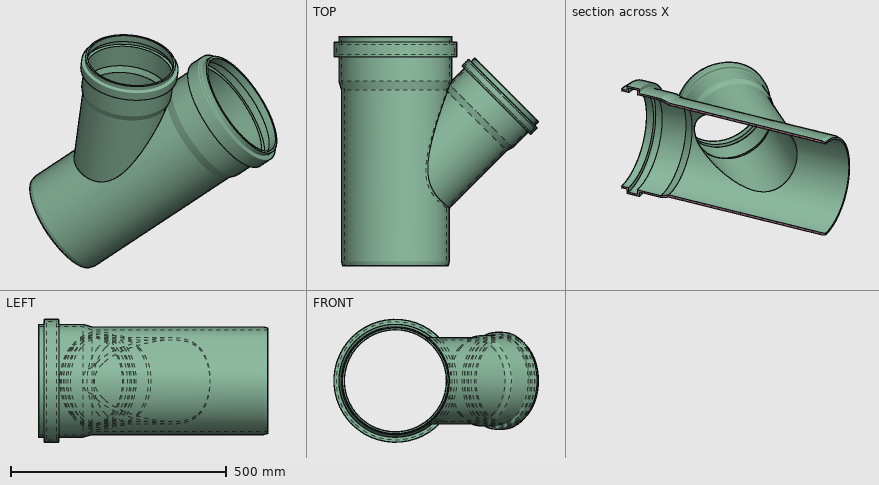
import cadquery as cq
import math

TOTAL_LENGTH = 532.0
MAIN_PIPE_DIA = 250.5
MAIN_BORE_DIA = 236.0
MAIN_SOCKET_DIA = 262.5
MAIN_SOCKET_BORE_DIA = 251.0
MAIN_COLLAR_DIA = 285.5
MAIN_GROOVE_DIA = 274.5
MAIN_COLLAR_DEPTHS = (13.0, 47.0)
MAIN_CONE_DEPTHS = (103.0, 123.5)

SPIGOT_TAPER_LENGTH = 10.0
SPIGOT_TAPER_DEPTH = SPIGOT_TAPER_LENGTH * math.tan(math.radians(15))

BRANCH_ANGLE = 45.0
BRANCH_START = 150.5
BRANCH_LENGTH = 365.0
BRANCH_PIPE_DIA = 200.5
BRANCH_BORE_DIA = 189.5
BRANCH_SOCKET_DIA = 209.5
BRANCH_SOCKET_BORE_DIA = 201.0
BRANCH_COLLAR_DIA = 225.5
BRANCH_GROOVE_DIA = 217.0
BRANCH_COLLAR_DEPTHS = (12.0, 34.0)
BRANCH_CONE_DEPTHS = (85.0, 100.0)

COLLAR_ROUNDING = 1.5
PICK_MARGIN = 0.5


def socket_profile_solid(length, pipe_dia, socket_dia, collar_dia, collar_start, collar_end,
                         cone_start, cone_end, end_taper=(0, 0)):
    """Solid of revolution about Y: a pipe widening through a cone to a collared socket.

    The end taper is the length and depth of the narrowing at the start of the pipe.
    """
    pipe_r = pipe_dia / 2
    socket_r = socket_dia / 2
    collar_r = collar_dia / 2
    taper_length, taper_depth = end_taper
    outline = [(0, 0), (pipe_r - taper_depth, 0)]
    if taper_length > 0:
        outline.append((pipe_r, taper_length))
    outline += [
        (pipe_r, cone_start),
        (socket_r, cone_end),
        (socket_r, collar_start),
        (collar_r, collar_start),
        (collar_r, collar_end),
        (socket_r, collar_end),
        (socket_r, length),
        (0, length),
    ]
    return cq.Workplane("XY").polyline(outline).close().revolve(360, (0, 0, 0), (0, 1, 0))


def pipe_outside(length, pipe_dia, socket_dia, collar_dia, collar_depths, cone_depths,
                 end_taper=(0, 0)):
    """Outer shape of a pipe, with the tips and roots of its collar rounded."""
    collar_start = length - collar_depths[1]
    collar_end = length - collar_depths[0]
    body = socket_profile_solid(length, pipe_dia, socket_dia, collar_dia, collar_start, collar_end,
                                length - cone_depths[1], length - cone_depths[0], end_taper)
    collar_edges = cq.selectors.BoxSelector(
        (-PICK_MARGIN, collar_start - PICK_MARGIN, -PICK_MARGIN),
        (PICK_MARGIN, collar_end + PICK_MARGIN, PICK_MARGIN))
    return body.edges("%CIRCLE").edges(collar_edges).fillet(COLLAR_ROUNDING)


def pipe_bore(length, bore_dia, socket_bore_dia, groove_dia, collar_wall, collar_depths,
              cone_depths):
    """Inner shape of a pipe; the seal groove leaves the collar wall at both collar sides."""
    groove_start = length - collar_depths[1] + collar_wall
    groove_end = length - collar_depths[0] - collar_wall
    return socket_profile_solid(length, bore_dia, socket_bore_dia, groove_dia, groove_start,
                                groove_end, length - cone_depths[1], length - cone_depths[0])


def place_branch(pipe):
    return pipe.rotate((0, 0, 0), (0, 0, 1), -BRANCH_ANGLE).translate((0, BRANCH_START, 0))


main_outside = pipe_outside(
    TOTAL_LENGTH, MAIN_PIPE_DIA, MAIN_SOCKET_DIA, MAIN_COLLAR_DIA,
    MAIN_COLLAR_DEPTHS, MAIN_CONE_DEPTHS, (SPIGOT_TAPER_LENGTH, SPIGOT_TAPER_DEPTH))
main_bore = pipe_bore(
    TOTAL_LENGTH, MAIN_BORE_DIA, MAIN_SOCKET_BORE_DIA, MAIN_GROOVE_DIA,
    (MAIN_COLLAR_DIA - MAIN_GROOVE_DIA) / 2, MAIN_COLLAR_DEPTHS, MAIN_CONE_DEPTHS)

branch_outside = place_branch(pipe_outside(
    BRANCH_LENGTH, BRANCH_PIPE_DIA, BRANCH_SOCKET_DIA, BRANCH_COLLAR_DIA,
    BRANCH_COLLAR_DEPTHS, BRANCH_CONE_DEPTHS))
branch_bore = place_branch(pipe_bore(
    BRANCH_LENGTH, BRANCH_BORE_DIA, BRANCH_SOCKET_BORE_DIA, BRANCH_GROOVE_DIA,
    (BRANCH_COLLAR_DIA - BRANCH_GROOVE_DIA) / 2, BRANCH_COLLAR_DEPTHS, BRANCH_CONE_DEPTHS))

result = main_outside.union(branch_outside).cut(main_bore).cut(branch_bore)